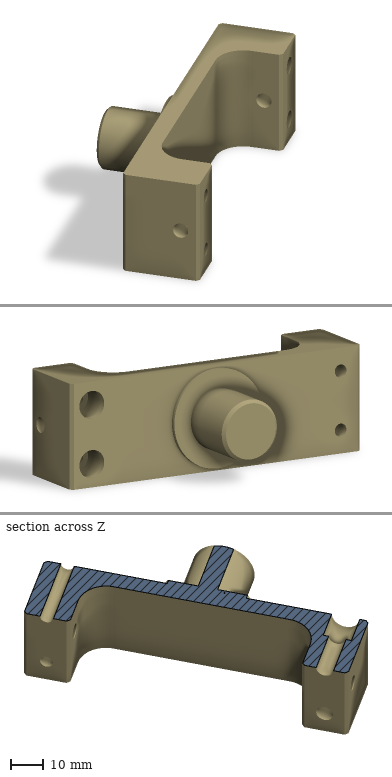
import cadquery as cq

length = 105.0
height = 34.0
depth = 25.0
plate_thickness = 6.0
arm_width = 15.0
inner_radius = 9.0
corner_chamfer = 1.0

collar_diameter = 32.0
collar_thickness = 1.48
spigot_diameter = 20.0
spigot_length = 20.0
spigot_chamfer = 1.0

screw_hole_y = 45.0
screw_hole_spacing = 19.0
clearance_diameter = 5.5
counterbore_diameter = 9.0
counterbore_depth = 10.0
tapped_diameter = 4.2

cross_hole_diameter = 5.0
cross_hole_x = 19.0


def make_body():
    """U-shaped bracket with chamfered outer corners and rounded inner corners."""
    block = cq.Workplane("XY").box(depth, length, height, centered=(False, True, True))
    block = block.edges("|Z").chamfer(corner_chamfer)
    gap_depth = depth - plate_thickness
    gap_width = length - 2 * arm_width
    gap = (
        cq.Workplane("XY")
        .box(gap_depth, gap_width, height, centered=(False, True, True))
        .edges("|Z and <X")
        .fillet(inner_radius)
        .translate((plate_thickness, 0, 0))
    )
    body = block.cut(gap)
    gap_mouth = cq.selectors.BoxSelector(
        (depth - corner_chamfer / 2, -gap_width / 2 - corner_chamfer / 2, -height),
        (depth + corner_chamfer / 2, gap_width / 2 + corner_chamfer / 2, height),
    )
    return body.edges("|Z").edges(gap_mouth).chamfer(corner_chamfer)


def make_spigot():
    """Collar and chamfered spigot, both pointing to -X from the plate face."""
    collar = cq.Workplane("YZ").circle(collar_diameter / 2).extrude(-collar_thickness)
    spigot = (
        cq.Workplane("YZ")
        .circle(spigot_diameter / 2)
        .extrude(-(collar_thickness + spigot_length))
        .faces("<X")
        .chamfer(spigot_chamfer)
    )
    return collar.union(spigot)


def make_screw_holes(y, diameter, hole_depth):
    """Pair of round cutters along +X, starting at the plate face."""
    half_spacing = screw_hole_spacing / 2
    return (
        cq.Workplane("YZ")
        .pushPoints([(y, half_spacing), (y, -half_spacing)])
        .circle(diameter / 2)
        .extrude(hole_depth)
    )


def make_cross_hole():
    """Round cutter along Y through both arms."""
    return (
        cq.Workplane("XZ")
        .center(cross_hole_x, 0)
        .circle(cross_hole_diameter / 2)
        .extrude(length / 2, both=True)
    )


result = (
    make_body()
    .union(make_spigot())
    .cut(make_screw_holes(screw_hole_y, clearance_diameter, depth))
    .cut(make_screw_holes(screw_hole_y, counterbore_diameter, counterbore_depth))
    .cut(make_screw_holes(-screw_hole_y, tapped_diameter, depth))
    .cut(make_cross_hole())
)